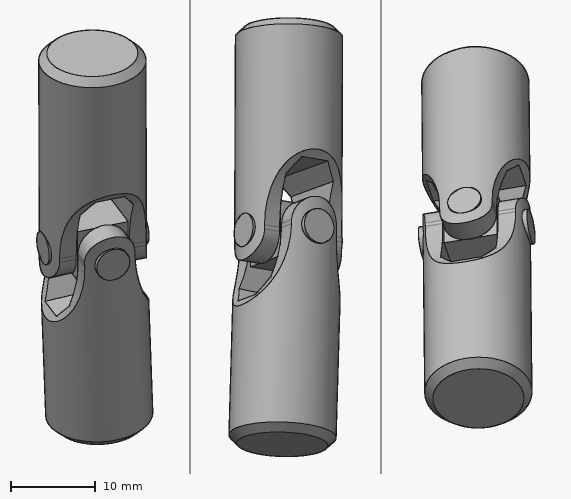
import cadquery as cq
import math


overall_length = 51.0
upper_tilt = 0.4
lower_tilt = 1.9

yoke_diameter = 12.7
end_chamfer = 0.95

slot_width = 6.75
slot_depth = 8.4
slot_corner_width = 1.55
slot_corner_height = 2.05

ear_width = 6.4
ear_tip = 3.6
neck_start = 0.1
neck_radius = 15.3

block_width = 6.45
block_height = 6.75

upper_pin_diameter = 4.05
upper_pin_span = 12.7
lower_pin_diameter = 4.2
lower_pin_span = 13.2
pin_seat_depth = 1.0

yoke_radius = yoke_diameter / 2
end_radius = yoke_radius - end_chamfer
upper_angle = math.radians(upper_tilt)
lower_angle = math.radians(lower_tilt)
corner_rise = end_radius * (math.sin(upper_angle) + math.sin(lower_angle))
yoke_length = (overall_length - corner_rise) / (math.cos(upper_angle) + math.cos(lower_angle))
pin_start = block_width / 2 - pin_seat_depth


def make_yoke_profile():
    """Outline in XZ of a yoke seen along its pin axis, body up and ear down."""
    ear_half = ear_width / 2

    def neck_half_width(height):
        return ear_half + neck_radius - math.sqrt(neck_radius**2 - height**2)

    ear_centre = ear_half - ear_tip
    neck_widening = yoke_radius - ear_half
    neck_height = math.sqrt(neck_radius**2 - (neck_radius - neck_widening) ** 2)
    neck_top = neck_start + neck_height
    neck_mid = neck_start + neck_height / 2
    neck_mid_half = neck_half_width(neck_height / 2)
    return (
        cq.Workplane("XZ")
        .moveTo(-yoke_radius, yoke_length)
        .lineTo(-yoke_radius, neck_top)
        .threePointArc((-neck_mid_half, neck_mid), (-ear_half, neck_start))
        .lineTo(-ear_half, ear_centre)
        .threePointArc((0, -ear_tip), (ear_half, ear_centre))
        .lineTo(ear_half, neck_start)
        .threePointArc((neck_mid_half, neck_mid), (yoke_radius, neck_top))
        .lineTo(yoke_radius, yoke_length)
        .close()
        .extrude(yoke_radius, both=True)
    )


def make_slot():
    """Slot along X between the ears, with bevelled corners at its floor."""
    wall = slot_width / 2
    floor = wall - slot_corner_width
    bevel_start = slot_depth - slot_corner_height
    return (
        cq.Workplane("YZ")
        .polyline(
            [
                (-wall, -ear_tip),
                (wall, -ear_tip),
                (wall, bevel_start),
                (floor, slot_depth),
                (-floor, slot_depth),
                (-wall, bevel_start),
            ]
        )
        .close()
        .extrude(yoke_radius, both=True)
    )


def make_yoke(pin_diameter):
    """Upright yoke: round bar upwards, ears downwards, pin axis along Y."""
    bar = (
        cq.Workplane("XY", origin=(0, 0, -ear_tip))
        .circle(yoke_radius)
        .extrude(yoke_length + ear_tip)
        .faces(">Z")
        .chamfer(end_chamfer)
    )
    pin_hole = cq.Workplane("XZ").circle(pin_diameter / 2).extrude(yoke_radius, both=True)
    return bar.intersect(make_yoke_profile()).cut(make_slot()).cut(pin_hole)


def make_pin(diameter, span):
    """Pin along +X from its seat in the block to its outer end."""
    return (
        cq.Workplane("YZ", origin=(pin_start, 0, 0))
        .circle(diameter / 2)
        .extrude(span / 2 - pin_start)
    )


def turn_about_z(shape, angle):
    return shape.rotate((0, 0, 0), (0, 0, 1), angle)


upper_yoke = make_yoke(upper_pin_diameter).rotate((0, 0, 0), (0, 1, 0), -upper_tilt)

lower_yoke = (
    turn_about_z(make_yoke(lower_pin_diameter), 90)
    .rotate((0, 0, 0), (1, 0, 0), 180 + lower_tilt)
)

pins = []
for angle in (0, 180):
    pins.append(turn_about_z(make_pin(lower_pin_diameter, lower_pin_span), angle))
for angle in (90, 270):
    pins.append(turn_about_z(make_pin(upper_pin_diameter, upper_pin_span), angle))

block = cq.Workplane("XY").box(block_width, block_width, block_height)
for pin in pins:
    block = block.cut(pin)

result = cq.Compound.makeCompound(
    [
        upper_yoke.solids().val(),
        lower_yoke.solids().val(),
        block.solids().val(),
        *[pin.val() for pin in pins],
    ]
)